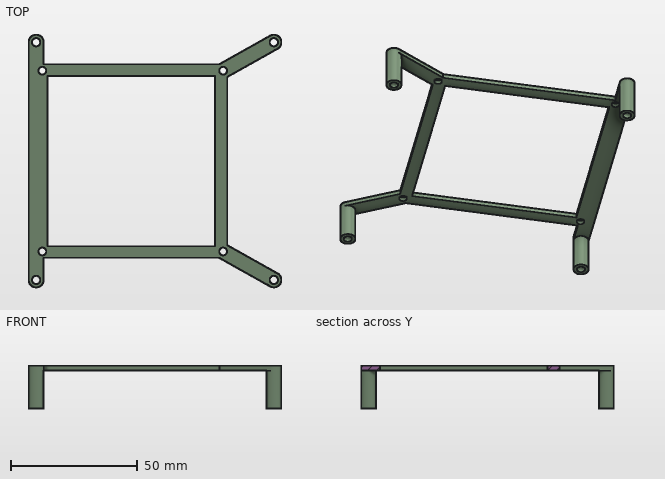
import cadquery as cq
import math

side = 100.0
height = 17.0
plate_thickness = 2.0

leg_diameter = 6.0
leg_hole_diameter = 3.2
leg_offset = (side - leg_diameter) / 2

mount_pitch = 71.5
mount_hole_diameter = 3.0
mount_center_x = -8.8
mount_left_x = mount_center_x - mount_pitch / 2
mount_right_x = mount_center_x + mount_pitch / 2
mount_y = mount_pitch / 2

frame_outer_y = 38.3
window_left_x = -42.5
window_right_x = 23.7
window_y = 33.6
frame_right_x = 28.6

plate_bottom = height - plate_thickness
leg_points = [(x, y) for x in (-leg_offset, leg_offset) for y in (-leg_offset, leg_offset)]
mount_points = [(x, y) for x in (mount_left_x, mount_right_x) for y in (-mount_y, mount_y)]


def plate_box(x_min, x_max, half_depth):
    """Plate-thick block centred on the X axis."""
    return (
        cq.Workplane("XY", origin=((x_min + x_max) / 2, 0, plate_bottom))
        .rect(x_max - x_min, 2 * half_depth)
        .extrude(plate_thickness)
    )


def diagonal_arm(sign):
    """Leg-wide strip from a right-hand mounting hole to its corner leg."""
    run = leg_offset - mount_right_x
    rise = leg_offset - mount_y
    return (
        cq.Workplane("XY")
        .rect(math.hypot(run, rise), leg_diameter)
        .extrude(plate_thickness)
        .rotate((0, 0, 0), (0, 0, 1), sign * math.degrees(math.atan2(rise, run)))
        .translate(((mount_right_x + leg_offset) / 2, sign * (mount_y + leg_offset) / 2, plate_bottom))
    )


frame = plate_box(-side / 2, frame_right_x, frame_outer_y)
window = plate_box(window_left_x, window_right_x, window_y)

left_strip = plate_box(-side / 2, -side / 2 + leg_diameter, leg_offset)
body = frame.union(left_strip)
for sign in (-1, 1):
    body = body.union(diagonal_arm(sign))
body = body.cut(window)

legs = cq.Workplane("XY").pushPoints(leg_points).circle(leg_diameter / 2).extrude(height)
body = body.union(legs)

leg_holes = cq.Workplane("XY").pushPoints(leg_points).circle(leg_hole_diameter / 2).extrude(height)
mount_holes = cq.Workplane("XY").pushPoints(mount_points).circle(mount_hole_diameter / 2).extrude(height)
result = body.cut(leg_holes).cut(mount_holes)